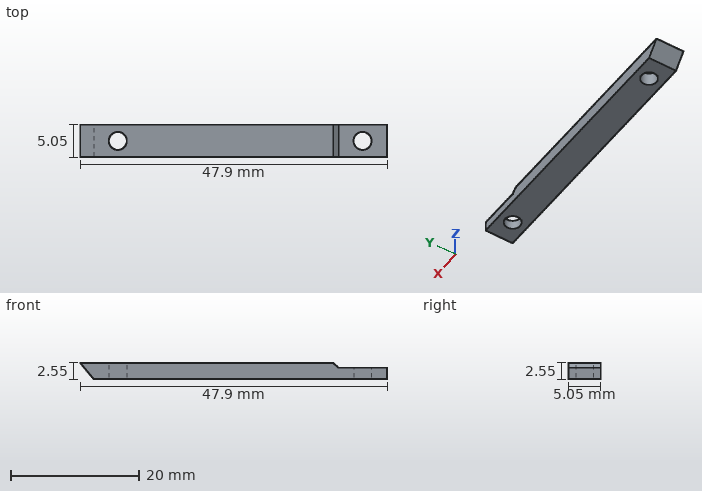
import cadquery as cq

length = 47.85
width = 5.05
thickness = 2.55

end_slope_run = 2.1

tongue_length = 7.55
tongue_drop = 0.75
ramp_run = 0.85

hole_diameter = 2.78
hole_positions_x = (5.9, 44.0)

tongue_start = length - tongue_length
tongue_thickness = thickness - tongue_drop

bar = (
    cq.Workplane("XZ")
    .moveTo(end_slope_run, 0)
    .lineTo(length, 0)
    .lineTo(length, tongue_thickness)
    .lineTo(tongue_start, tongue_thickness)
    .lineTo(tongue_start - ramp_run, thickness)
    .lineTo(0, thickness)
    .close()
    .extrude(width / 2, both=True)
)

holes = (
    cq.Workplane("XY")
    .pushPoints([(x, 0) for x in hole_positions_x])
    .circle(hole_diameter / 2)
    .extrude(thickness)
)

result = bar.cut(holes)